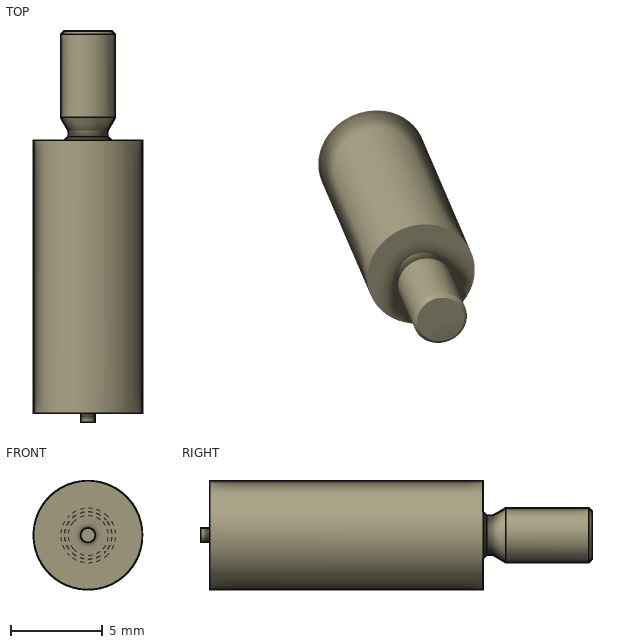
import cadquery as cq
import math

total_length = 21.5
body_diameter = 6.0
body_length = 15.0
pin_diameter = 0.8
pin_length = 0.5
stud_diameter = 3.0
stud_chamfer = 0.2
neck_diameter = 2.2
neck_length = 1.25
root_chamfer = 0.2
neck_fillet = 0.1
cone_half_angle = 30.0

body_back = pin_length + body_length
cone_end = body_back + neck_length
body_radius = body_diameter / 2
pin_radius = pin_diameter / 2
stud_radius = stud_diameter / 2
neck_radius = neck_diameter / 2

half_angle = math.radians(cone_half_angle)
cone_length = (stud_radius - neck_radius) / math.tan(half_angle)
cone_start = cone_end - cone_length
blend_length = neck_fillet * math.tan(half_angle / 2)
blend_start = cone_start - blend_length


def blend_point(angle):
    """Point on the cone fillet after turning by angle from the neck."""
    radius = neck_radius + neck_fillet * (1 - math.cos(angle))
    return radius, blend_start + neck_fillet * math.sin(angle)


profile = (
    cq.Workplane("XY")
    .moveTo(0, 0)
    .lineTo(pin_radius, 0)
    .lineTo(pin_radius, pin_length)
    .lineTo(body_radius, pin_length)
    .lineTo(body_radius, body_back)
    .lineTo(neck_radius + root_chamfer, body_back)
    .lineTo(neck_radius, body_back + root_chamfer)
    .lineTo(neck_radius, blend_start)
    .threePointArc(blend_point(half_angle / 2), blend_point(half_angle))
    .lineTo(stud_radius, cone_end)
    .lineTo(stud_radius, total_length - stud_chamfer)
    .lineTo(stud_radius - stud_chamfer, total_length)
    .lineTo(0, total_length)
    .close()
)

result = profile.revolve(360, (0, 0, 0), (0, 1, 0))